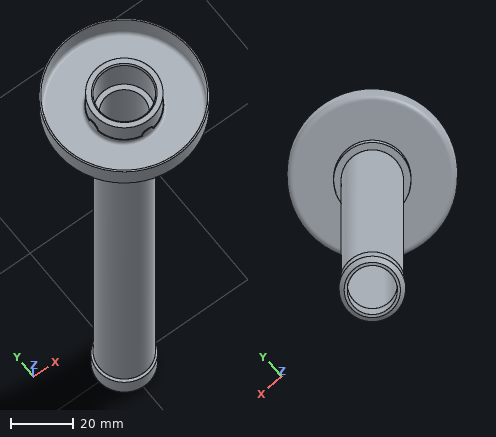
import cadquery as cq

total_length = 201.3
bore_diameter = 16.1

nipple_diameter = 21.5
nipple_chamfer = 1.71
nipple_shoulder_z = 9.0
neck_diameter = 18.1
neck_length = 1.0

sleeve_diameter = 25.0
sleeve_length = 15.3
sleeve_mouth_chamfer = 0.5
sleeve_bottom_z = total_length - sleeve_length

pipe_diameter = 20.1
pipe_insertion = 1.0
pipe_bottom_z = nipple_shoulder_z + neck_length
pipe_top_z = sleeve_bottom_z + pipe_insertion

rose_diameter = 55.0
rose_height = 9.9
rose_thickness = 0.6
rose_corner_radius = 2.0
rose_top_gap = 1.5
rose_top_z = total_length - rose_top_gap
rose_bottom_z = rose_top_z - rose_height
rose_floor_z = rose_bottom_z + rose_thickness

collar_thickness = 0.25
collar_height = 2.2
collar_fillet = 1.0
collar_diameter = sleeve_diameter + 2 * collar_thickness
collar_top_z = rose_floor_z + collar_height
tab_width = 4.5
tab_straight_height = 0.5


def cylinder(diameter, bottom_z, top_z):
    """Solid cylinder on the Z axis between two heights."""
    return cq.Workplane("XY", origin=(0, 0, bottom_z)).circle(diameter / 2).extrude(top_z - bottom_z)


def tube(outer_diameter, inner_diameter, bottom_z, top_z):
    """Ring on the Z axis between two heights."""
    return cylinder(outer_diameter, bottom_z, top_z).cut(cylinder(inner_diameter, bottom_z, top_z))


def make_pipe():
    return tube(pipe_diameter, bore_diameter, pipe_bottom_z, pipe_top_z)


def make_nipple():
    thread = cylinder(nipple_diameter, 0, nipple_shoulder_z).faces("<Z").chamfer(nipple_chamfer)
    neck = cylinder(neck_diameter, nipple_shoulder_z, pipe_bottom_z)
    return thread.union(neck).cut(cylinder(bore_diameter, 0, pipe_bottom_z))


def make_sleeve():
    """Tube with a chamfer around the mouth of its bore."""
    sleeve = tube(sleeve_diameter, pipe_diameter, sleeve_bottom_z, total_length)
    mouth = sleeve.faces(">Z").edges(cq.selectors.RadiusNthSelector(0))
    return mouth.chamfer(sleeve_mouth_chamfer)


def make_rose_cavity():
    """Ring-shaped hollow between the wall and the collar, rounded along both edges of the floor."""
    cavity = tube(rose_diameter - 2 * rose_thickness, collar_diameter, rose_floor_z, rose_top_z)
    cavity = cavity.faces("<Z").edges(cq.selectors.RadiusNthSelector(-1)).fillet(
        rose_corner_radius - rose_thickness
    )
    return cavity.faces("<Z").edges(cq.selectors.RadiusNthSelector(0)).fillet(collar_fillet)


def make_tab_pair():
    """Round-ended bar along Y that crosses the collar at the places of two opposite tabs."""
    bar = (
        cq.Workplane("XZ", origin=(0, 0, collar_top_z))
        .moveTo(-tab_width / 2, 0)
        .lineTo(tab_width / 2, 0)
        .line(0, tab_straight_height)
        .threePointArc((0, tab_straight_height + tab_width / 2), (-tab_width / 2, tab_straight_height))
        .close()
    )
    return bar.extrude(collar_diameter, both=True)


def make_rose():
    """Dish whose centre is cut down to the collar rim, except at the tabs, and opened for the sleeve."""
    dish = cylinder(rose_diameter, rose_bottom_z, rose_top_z).faces("<Z").edges().fillet(rose_corner_radius)
    space_above_rim = cylinder(collar_diameter, collar_top_z, rose_top_z)
    for angle in (0, 90):
        space_above_rim = space_above_rim.cut(make_tab_pair().rotate((0, 0, 0), (0, 0, 1), angle))
    sleeve_hole = cylinder(sleeve_diameter, rose_bottom_z, rose_top_z)
    return dish.cut(make_rose_cavity()).cut(space_above_rim).cut(sleeve_hole)


pipe = make_pipe()
nipple = make_nipple()
sleeve = make_sleeve()
rose = make_rose()

bodies = [pipe, nipple, sleeve, rose]
result = cq.Compound.makeCompound([body.solids().val() for body in bodies])